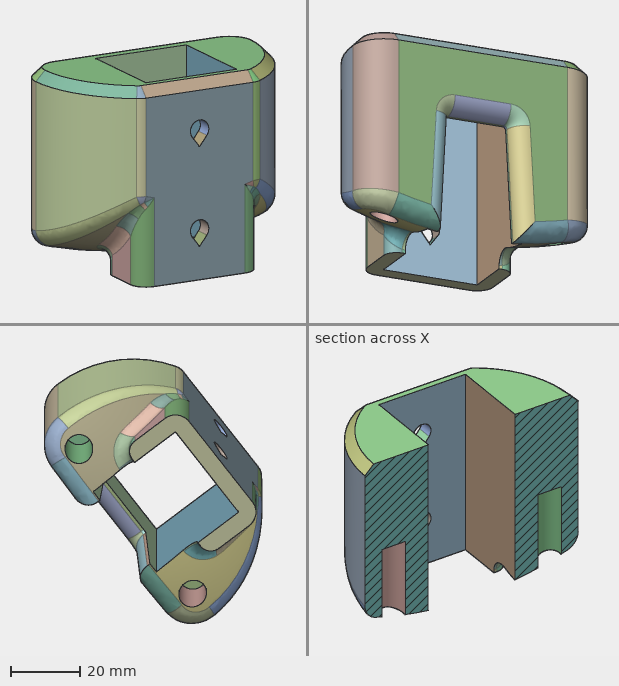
import cadquery as cq
import math

depth = 41.0
width = 74.0
height = 60.0

front_corner_radius = 10.0
rear_corner_radius = 5.0
side_radius = 35.8
top_chamfer = 3.0

underside_radius = 48.1
underside_crown_radius = 116.2
underside_axis_x = 0.6
underside_axis_z = 49.4
envelope_margin = 0.75

rim_fillet = 5.0

channel_side = 30.0
rear_wall = 5.0
front_wall = depth - rear_wall - channel_side

post_depth = 20.0
post_joint_top_z = 25.0
post_top_z = 33.3
post_width = channel_side + 2 * rear_wall
post_front_radius = 4.0
post_rear_radius = rear_wall
post_fillet = 4.0

slot_top = 37.8
slot_top_half_width = 9.9
slot_bottom_half_width = 12.0
slot_corner_radius = 1.0

drop_radius = 3.0
drop_tip_reach = 4.95
drop_heights = (15.0, 45.0)

pin_hole_diameter = 8.0
pin_hole_top_z = 29.6

tolerance = 0.04


def make_outline():
    """Plan outline: flat front and rear, each rounded into two large side arcs."""
    half = width / 2
    cx = front_corner_radius
    side_center_y = half - side_radius
    reach = depth - rear_corner_radius - cx
    rise = math.sqrt((side_radius - rear_corner_radius) ** 2 - reach**2)
    blend_y = side_center_y + rise
    blend_angle = math.atan2(rise, reach)
    tangent = (
        cx + side_radius * math.cos(blend_angle),
        side_center_y + side_radius * math.sin(blend_angle),
    )
    rear_mid_angle = blend_angle / 2
    rear_mid = (
        depth - rear_corner_radius * (1 - math.cos(rear_mid_angle)),
        blend_y + rear_corner_radius * math.sin(rear_mid_angle),
    )
    side_angle = (math.pi / 2 + blend_angle) / 2
    side_mid = (
        cx + side_radius * math.cos(side_angle),
        side_center_y + side_radius * math.sin(side_angle),
    )
    corner_y = half - front_corner_radius
    corner_mid = (
        cx - front_corner_radius * math.sqrt(0.5),
        corner_y + front_corner_radius * math.sqrt(0.5),
    )
    return (
        cq.Workplane("XY")
        .moveTo(0, -corner_y)
        .lineTo(0, corner_y)
        .threePointArc(corner_mid, (cx, half))
        .threePointArc(side_mid, tangent)
        .threePointArc(rear_mid, (depth, blend_y))
        .lineTo(depth, -blend_y)
        .threePointArc((rear_mid[0], -rear_mid[1]), (tangent[0], -tangent[1]))
        .threePointArc((side_mid[0], -side_mid[1]), (cx, -half))
        .threePointArc((corner_mid[0], -corner_mid[1]), (0, -corner_y))
        .close()
    )


def make_underside_envelope():
    """Space kept by the body: the barrel below its axis and everything above it."""
    half = width / 2 + envelope_margin
    crown_drop = underside_crown_radius - math.sqrt(underside_crown_radius**2 - half**2)
    end_radius = underside_radius - crown_drop
    barrel = (
        cq.Workplane("XY")
        .moveTo(0, -half)
        .lineTo(end_radius, -half)
        .threePointArc((underside_radius, 0), (end_radius, half))
        .lineTo(0, half)
        .close()
        .revolve(360, (0, 0, 0), (0, 1, 0))
        .translate((underside_axis_x, 0, underside_axis_z))
    )
    upper = cq.Workplane("XY").box(3 * depth, 2 * half, height, centered=(True, True, False))
    return barrel.union(upper.translate((0, 0, underside_axis_z)))


def make_slot():
    return (
        cq.Workplane("YZ")
        .polyline(
            [
                (-slot_bottom_half_width, 0),
                (-slot_top_half_width, slot_top),
                (slot_top_half_width, slot_top),
                (slot_bottom_half_width, 0),
            ]
        )
        .close()
        .extrude(front_wall)
        .edges("|X and >Z")
        .fillet(slot_corner_radius)
    )


def make_post():
    return (
        cq.Workplane("XY")
        .box(post_depth, post_width, post_top_z, centered=(False, True, False))
        .translate((depth - post_depth, 0, 0))
        .edges("|Z and <X")
        .fillet(post_front_radius)
        .edges("|Z and >X")
        .fillet(post_rear_radius)
    )


def make_channel():
    return (
        cq.Workplane("XY")
        .box(channel_side, channel_side, height, centered=(False, True, False))
        .translate((front_wall, 0, 0))
    )


def make_drop_hole(center_z):
    """Round hole with two flats that meet in a downward tip, cut through the rear wall."""
    flat_angle = math.acos(drop_radius / drop_tip_reach)
    tangent_y = drop_radius * math.sin(flat_angle)
    tangent_z = center_z - drop_radius * math.cos(flat_angle)
    return (
        cq.Workplane("YZ", origin=(depth - 1.5 * rear_wall, 0, 0))
        .moveTo(0, center_z - drop_tip_reach)
        .lineTo(tangent_y, tangent_z)
        .threePointArc((0, center_z + drop_radius), (-tangent_y, tangent_z))
        .close()
        .extrude(2 * rear_wall)
    )


def make_pin_holes():
    corner_y = width / 2 - front_corner_radius
    return (
        cq.Workplane("XY")
        .pushPoints([(front_corner_radius, -corner_y), (front_corner_radius, corner_y)])
        .circle(pin_hole_diameter / 2)
        .extrude(pin_hole_top_z)
    )


def bounds(edge):
    return edge.BoundingBox()


def is_vertical(edge):
    box = bounds(edge)
    return box.xlen < tolerance and box.ylen < tolerance


def farthest_y(edge):
    box = bounds(edge)
    return max(abs(box.ymin), abs(box.ymax))


def is_slot_rim(edge):
    """Edges where the slot meets the flat front face."""
    return bounds(edge).xmax < tolerance and farthest_y(edge) < channel_side / 2


def is_underside_rim(edge):
    """Edges where the outer wall meets the curved underside."""
    box = bounds(edge)
    on_outline = (
        box.xmax < tolerance or box.xmin > depth - tolerance or farthest_y(edge) > post_width / 2 + tolerance
    )
    return on_outline and box.zmax < height / 2 and not is_vertical(edge)


def is_post_joint(edge):
    """Edges where the post leaves the underside, short of its rear corners."""
    box = bounds(edge)
    reach_y = farthest_y(edge)
    outside_channel = reach_y > channel_side / 2 + tolerance
    on_post = box.xmin > depth - post_depth - tolerance and reach_y < post_width / 2 + tolerance
    below_rear_rim = box.zmax < post_joint_top_z
    return outside_channel and on_post and below_rear_rim and box.zmin > tolerance and not is_vertical(edge)


def fillet_where(part, radius, condition):
    edges = [edge for edge in part.edges().vals() if condition(edge)]
    return part.newObject(edges).fillet(radius)


channel = make_channel()
body = make_outline().extrude(height).faces(">Z").chamfer(top_chamfer)
body = body.intersect(make_underside_envelope()).cut(make_slot())
body = fillet_where(body, rim_fillet, lambda edge: is_slot_rim(edge) or is_underside_rim(edge)).cut(channel)

body = body.union(make_post().cut(channel))
body = fillet_where(body, post_fillet, is_post_joint)

result = body.cut(make_pin_holes())
for drop_height in drop_heights:
    result = result.cut(make_drop_hole(drop_height))